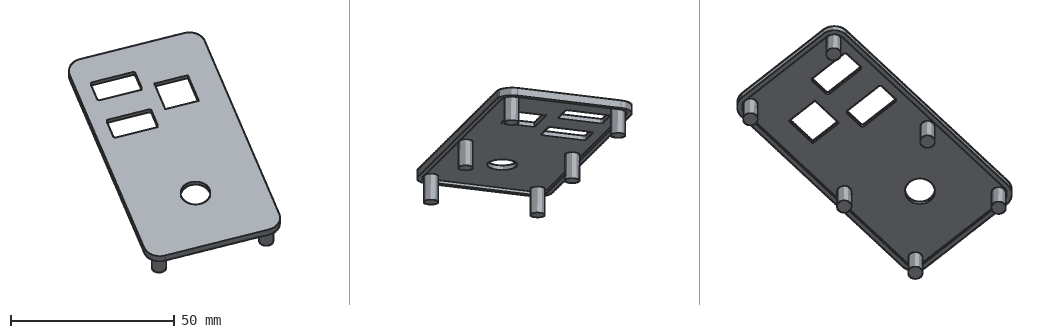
import cadquery as cq

plate_length = 83.2
plate_width = 43.6
plate_thickness = 2.5
corner_radius = 5.0

skin_thickness = 1.5
recess_depth = plate_thickness - skin_thickness
rim_width = skin_thickness

total_height = 10.0
leg_length = total_height - skin_thickness
leg_diameter = 4.5
leg_end_inset = 4.2
leg_side_inset = 4.5
middle_leg_x = 5.15

square_side = 10.8
square_x = -19.7
square_y = 7.15

slot_width = 7.6
slot_height = 14.4
slot_corner_radius = 0.7
slot_pair_x = -19.9
slot_spacing = 15.8
slot_y = -9.65

hole_diameter = 9.15
hole_x = 20.6


def make_rounded_slab(length, width, height, radius):
    """Slab standing on Z = 0 with rounded vertical corners."""
    return (
        cq.Workplane("XY")
        .box(length, width, height, centered=(True, True, False))
        .edges("|Z")
        .fillet(radius)
    )


def make_plate():
    """Rounded plate, hollowed from below so that a rim of even width remains."""
    slab = make_rounded_slab(plate_length, plate_width, plate_thickness, corner_radius)
    recess = make_rounded_slab(
        plate_length - 2 * rim_width,
        plate_width - 2 * rim_width,
        recess_depth,
        corner_radius - rim_width,
    )
    return slab.cut(recess)


def make_legs():
    """Two rows of three round legs hanging from the skin."""
    end_x = plate_length / 2 - leg_end_inset
    row_y = plate_width / 2 - leg_side_inset
    leg_centres = [(x, y) for x in (-end_x, middle_leg_x, end_x) for y in (-row_y, row_y)]
    return (
        cq.Workplane("XY", origin=(0, 0, recess_depth))
        .pushPoints(leg_centres)
        .circle(leg_diameter / 2)
        .extrude(-leg_length)
    )


def make_square_window():
    return (
        cq.Workplane("XY")
        .center(square_x, square_y)
        .rect(square_side, square_side)
        .extrude(plate_thickness)
    )


def make_slots():
    """Cutters for the two identical windows side by side."""
    slot_centres = [(slot_pair_x + side * slot_spacing / 2, slot_y) for side in (-1, 1)]
    return (
        cq.Workplane("XY")
        .pushPoints(slot_centres)
        .rect(slot_width, slot_height)
        .extrude(plate_thickness)
        .edges("|Z")
        .fillet(slot_corner_radius)
    )


def make_round_hole():
    return (
        cq.Workplane("XY")
        .center(hole_x, 0)
        .circle(hole_diameter / 2)
        .extrude(plate_thickness)
    )


result = (
    make_plate()
    .cut(make_square_window())
    .cut(make_slots())
    .cut(make_round_hole())
    .union(make_legs())
)